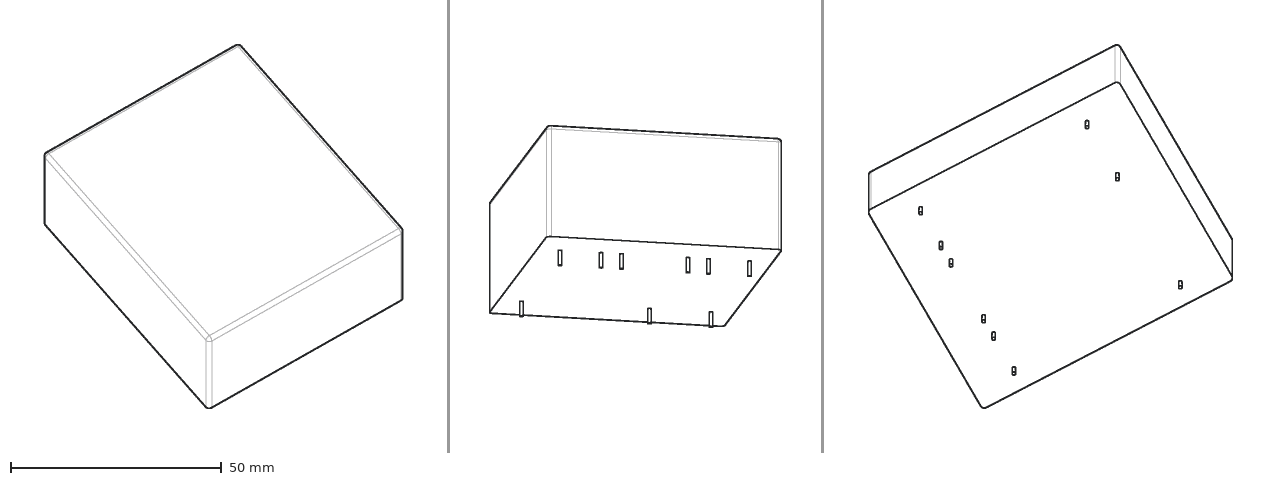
import cadquery as cq

LENGTH = 68.0
WIDTH = 57.0
OVERALL_HEIGHT = 31.2

EDGE_RADIUS = 1.0

PIN_LENGTH = 3.6
PIN_DIAMETER = 0.8
ROW_SPACING = 45.0
INNER_PIN_Y = 8.0
MIDDLE_PIN_Y = 13.0
OUTER_PIN_Y = 23.0

CASE_HEIGHT = OVERALL_HEIGHT - PIN_LENGTH

FULL_ROW_Y = [-OUTER_PIN_Y, -MIDDLE_PIN_Y, -INNER_PIN_Y, INNER_PIN_Y, MIDDLE_PIN_Y, OUTER_PIN_Y]
SHORT_ROW_Y = [-OUTER_PIN_Y, -INNER_PIN_Y, OUTER_PIN_Y]


def make_case():
    """Block standing on Z = 0, with rounded upright and top edges and a sharp bottom edge."""
    block = cq.Workplane("XY").box(LENGTH, WIDTH, CASE_HEIGHT, centered=(True, True, False))
    return block.edges("|Z or >Z").fillet(EDGE_RADIUS)


def make_pin(x, y):
    """Round pin hanging from the underside of the case."""
    return cq.Workplane("XY").center(x, y).circle(PIN_DIAMETER / 2).extrude(-PIN_LENGTH)


case = make_case()

pins = []
for x, row_y in [(-ROW_SPACING / 2, FULL_ROW_Y), (ROW_SPACING / 2, SHORT_ROW_Y)]:
    for y in row_y:
        pins.append(make_pin(x, y).val())

result = cq.Compound.makeCompound([case.val(), *pins])